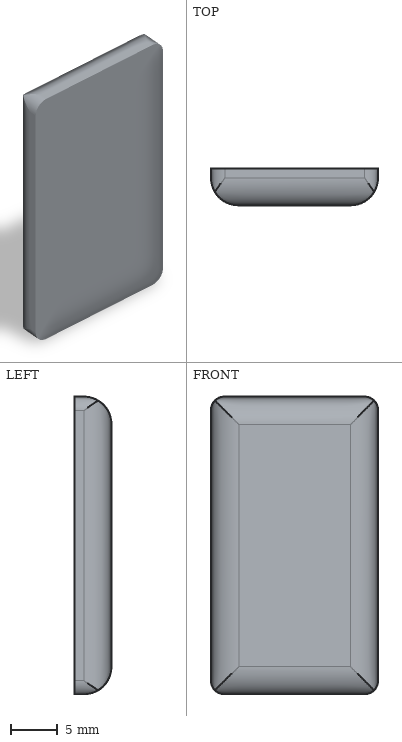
import cadquery as cq

width = 18.0
thickness = 4.0
height = 32.0
front_radius = 3.0
corner_radius = 1.5


def block():
    """Plain block centred on the origin."""
    return cq.Workplane("XY").box(width, thickness, height)


rounded_sides = block().edges("|Z and <Y").fillet(front_radius)
rounded_ends = block().edges("|X and <Y").fillet(front_radius)

rounded_outline = block().edges("|Y").fillet(corner_radius)

result = rounded_sides.intersect(rounded_ends).intersect(rounded_outline)